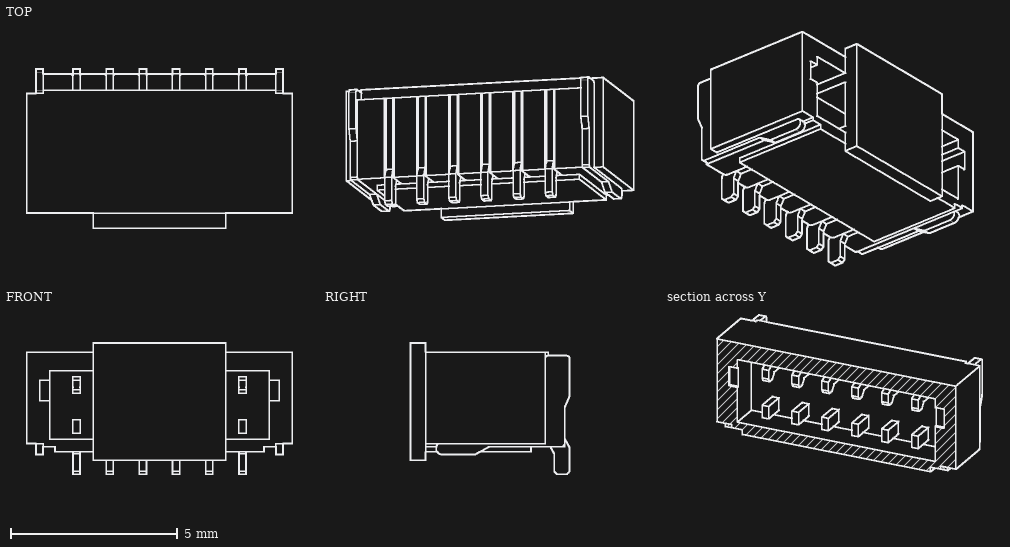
import cadquery as cq
import math


housing_width = 8.0
housing_depth = 3.7
wing_depth = 3.6
wing_bottom = -2.75
core_width = 7.0
core_bottom = -2.85
ledge_back = 4.19
ledge_top = -0.41
pad_width = 6.3
pad_depth = 3.18
pad_bottom = -3.0

cavity_width = 6.61
cavity_top = -0.565
cavity_bottom = -2.615
cavity_depth = 2.9
key_span = 7.2
key_depth = 2.0
key_top = -0.85
key_bottom = -1.465

metal_thickness = 0.22
metal_back = 4.34

contact_count = 6
contact_pitch = 1.0
contact_root = 3.2
arm_tip = 2.2
upper_arm_top = -0.735
upper_arm_bottom = -1.05
upper_tip_top = -0.84
upper_tip_bottom = -1.13
hook_bottom = -1.235
tip_ramp_length = 0.29
hook_start = 0.06
hook_end = 0.25
hook_heel_length = 0.15
lower_arm_top = -2.03
lower_arm_bottom = -2.44
foot_bend_top = -2.60
foot_back_top = -2.875
foot_front = 3.87
foot_front_top = -3.06
foot_root_front = 3.755
foot_bottom = -3.68
foot_chamfer = 0.09
mouth_chamfer = 0.045

tab_top = -0.10
tab_step_top = -1.32
tab_step_bottom = -1.67
tab_heel_chamfer = 0.07
tab_corner_radius = 0.10
tab_slope_back = 1.91
tab_slope_front = 1.49
tab_sole_bottom = -3.085
tab_toe_radius = 0.185
tab_toe_center = 0.5

cap_width = 4.0
cap_thickness = 0.46
cap_top = 0.28
cap_bottom = -3.26
tongue_tip = 1.24
tongue_taper_start = 0.5
lower_tongue_top = -2.40
lower_tongue_tip_bottom = -2.50
upper_tongue_bottom = -0.88


def block(width, y_front, y_back, z_bottom, z_top):
    """Box centred on X = 0 between the given Y and Z limits."""
    return (
        cq.Workplane("XY")
        .box(width, y_back - y_front, z_top - z_bottom, centered=(True, False, False))
        .translate((0, y_front, z_bottom))
    )


def sheet(profile, thickness, x_center):
    """Extrude a closed YZ profile symmetrically about x_center."""
    return profile.extrude(thickness / 2, both=True).translate((x_center, 0, 0))


def contact_at(x_center):
    """Forked contact: hooked upper arm, plain lower arm, rear body and solder foot."""
    profile = (
        cq.Workplane("YZ")
        .moveTo(contact_root, upper_arm_top)
        .lineTo(arm_tip + tip_ramp_length, upper_arm_top)
        .lineTo(arm_tip, upper_tip_top)
        .lineTo(arm_tip, upper_tip_bottom)
        .lineTo(arm_tip + hook_start, hook_bottom)
        .lineTo(arm_tip + hook_end, hook_bottom)
        .lineTo(arm_tip + hook_end + hook_heel_length, upper_arm_bottom)
        .lineTo(contact_root, upper_arm_bottom)
        .lineTo(contact_root, lower_arm_top)
        .lineTo(arm_tip, lower_arm_top)
        .lineTo(arm_tip, lower_arm_bottom)
        .lineTo(contact_root, lower_arm_bottom)
        .lineTo(contact_root, core_bottom)
        .lineTo(foot_root_front, core_bottom)
        .lineTo(foot_front, foot_front_top)
        .lineTo(foot_front, foot_bottom + foot_chamfer)
        .lineTo(foot_front + foot_chamfer, foot_bottom)
        .lineTo(metal_back - foot_chamfer, foot_bottom)
        .lineTo(metal_back, foot_bottom + foot_chamfer)
        .lineTo(metal_back, foot_back_top)
        .lineTo(ledge_back, foot_bend_top)
        .lineTo(ledge_back, ledge_top)
        .lineTo(contact_root, ledge_top)
        .close()
    )
    return sheet(profile, metal_thickness, x_center)


def solder_tab_at(x_center):
    """L-shaped tab: upright behind the end wall, sole under it with a rounded toe."""
    corner_offset = tab_corner_radius * (1 - math.sqrt(0.5))
    toe_center_z = tab_sole_bottom + tab_toe_radius
    toe_rise = wing_bottom - toe_center_z
    toe_top_y = tab_toe_center - math.sqrt(tab_toe_radius**2 - toe_rise**2)
    profile = (
        cq.Workplane("YZ")
        .moveTo(wing_depth, wing_bottom)
        .lineTo(wing_depth, tab_top - tab_corner_radius)
        .threePointArc(
            (wing_depth + corner_offset, tab_top - corner_offset),
            (wing_depth + tab_corner_radius, tab_top),
        )
        .lineTo(metal_back - tab_corner_radius, tab_top)
        .threePointArc(
            (metal_back - corner_offset, tab_top - corner_offset),
            (metal_back, tab_top - tab_corner_radius),
        )
        .lineTo(metal_back, tab_step_top)
        .lineTo(ledge_back, tab_step_bottom)
        .lineTo(ledge_back, core_bottom + tab_heel_chamfer)
        .lineTo(ledge_back - tab_heel_chamfer, core_bottom)
        .lineTo(tab_slope_back, core_bottom)
        .lineTo(tab_slope_front, tab_sole_bottom)
        .lineTo(tab_toe_center, tab_sole_bottom)
        .threePointArc(
            (tab_toe_center - tab_toe_radius, toe_center_z),
            (toe_top_y, wing_bottom),
        )
        .close()
    )
    return sheet(profile, metal_thickness, x_center)


def slot_mouth_at(x_center):
    """Cutter that chamfers both rear edges of a contact slot."""
    inner = metal_thickness / 2
    outer = inner + mouth_chamfer
    return (
        cq.Workplane("XY")
        .workplane(offset=core_bottom)
        .polyline([
            (x_center - inner, ledge_back - mouth_chamfer),
            (x_center + inner, ledge_back - mouth_chamfer),
            (x_center + outer, ledge_back),
            (x_center - outer, ledge_back),
        ])
        .close()
        .extrude(ledge_top - core_bottom)
    )


def make_housing(contacts, contact_places):
    """Open-fronted shell with a rear ledge and a close-fitting slot for each contact."""
    shell = (
        block(housing_width, 0, wing_depth, wing_bottom, 0)
        .union(block(core_width, 0, housing_depth, core_bottom, 0))
        .union(block(core_width, 0, ledge_back, core_bottom, ledge_top))
        .union(block(pad_width, 0, pad_depth, pad_bottom, core_bottom))
    )
    shell = shell.cut(block(cavity_width, 0, cavity_depth, cavity_bottom, cavity_top))
    shell = shell.cut(block(key_span, 0, key_depth, key_bottom, key_top))
    for contact, x_center in zip(contacts, contact_places):
        shell = shell.cut(slot_mouth_at(x_center)).cut(contact)
    return shell


def make_cap():
    """Flat pick-up plate with two tongues that press on the cavity roof and floor."""
    plate = block(cap_width, -cap_thickness, 0, cap_bottom, cap_top)
    upper_tongue = block(cap_width, 0, tongue_tip, upper_tongue_bottom, cavity_top)
    lower_profile = (
        cq.Workplane("YZ")
        .polyline([
            (0, cavity_bottom),
            (tongue_taper_start, cavity_bottom),
            (tongue_tip, lower_tongue_tip_bottom),
            (tongue_tip, lower_tongue_top),
            (0, lower_tongue_top),
        ])
        .close()
    )
    return plate.union(upper_tongue).union(sheet(lower_profile, cap_width, 0))


contact_places = [(i - (contact_count - 1) / 2) * contact_pitch for i in range(contact_count)]
contacts = [contact_at(x) for x in contact_places]

tab_offset = (core_width + metal_thickness) / 2
solder_tabs = [solder_tab_at(side * tab_offset) for side in (-1, 1)]

housing = make_housing(contacts, contact_places)
cap = make_cap()

result = cq.Compound.makeCompound([
    housing.val(),
    cap.val(),
    *[contact.val() for contact in contacts],
    *[tab.val() for tab in solder_tabs],
])